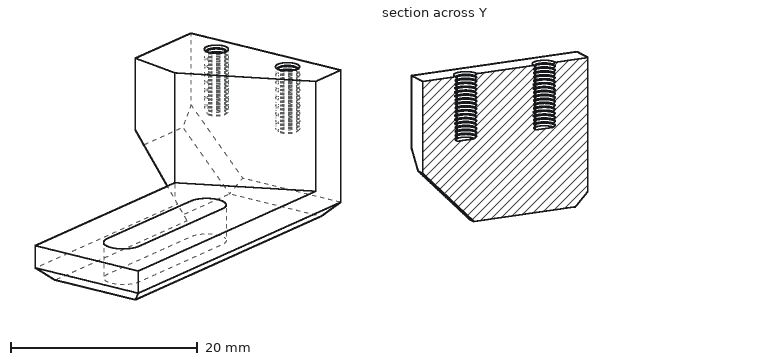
import cadquery as cq

width = 20.0
length = 36.5
height = 16.5
arm_left = 6.25
arm_thickness = 4.0
chamfer = 1.5

corner_y = 25.2
left_face_front_y = 26.45
diagonal_end_y = 31.97
flank_slope = (corner_y - left_face_front_y) / arm_left

slot_width = 4.2
slot_start_y = 4.35
slot_end_y = 23.58
slot_x = 13.2

hole_xs = (5.25, 14.75)
hole_y = 33.98
hole_depth = 7.3
minor_diameter = 2.08
major_diameter = 2.6
thread_pitch = 0.45

overlap = 2.2


def make_arm():
    """Flat arm with its lower side and front edges chamfered."""
    arm_width = width - arm_left
    arm_length = diagonal_end_y + overlap
    arm = cq.Workplane("XY").box(arm_width, arm_length, arm_thickness, centered=False)
    arm = arm.faces("<Z").edges("<X or >X or <Y").chamfer(chamfer)
    return arm.translate((arm_left, 0, 0))


def make_block():
    """Raised block with a 45 degree underside on the left and chamfered lower edges."""
    root_x = arm_left + overlap
    root_y = corner_y + flank_slope * overlap
    plan = [(0, length), (0, left_face_front_y), (root_x, root_y), (width, diagonal_end_y), (width, length)]
    block = cq.Workplane("XY").polyline(plan).close().extrude(height)

    underside = (
        cq.Workplane("XZ")
        .polyline([(0, 0), (arm_left, 0), (0, arm_left)])
        .close()
        .extrude(-length)
    )
    block = block.cut(underside)

    slope_face = block.faces(cq.selectors.DirectionMinMaxSelector(cq.Vector(-1, 0, -1), True))
    slope_edges = slope_face.edges("not |Y")
    bottom_edges = block.faces("<Z").edges(">X or >Y")
    block = block.newObject(slope_edges.vals() + bottom_edges.vals()).chamfer(chamfer)

    clearance = (
        cq.Workplane("XY", origin=(0, 0, arm_thickness))
        .polyline([(arm_left, corner_y), (width, diagonal_end_y), (width, 0), (arm_left, 0)])
        .close()
        .extrude(height)
    )
    return block.cut(clearance)


def make_slot():
    slot_length = slot_end_y - slot_start_y
    return (
        cq.Workplane("XY")
        .center(slot_x, (slot_start_y + slot_end_y) / 2)
        .slot2D(slot_length, slot_width, 90)
        .extrude(arm_thickness)
    )


def make_threaded_hole():
    """Blind bore whose thread is a stack of V-shaped rings, opening at full major diameter."""
    minor_radius = minor_diameter / 2
    major_radius = major_diameter / 2
    groove_count = int(hole_depth / thread_pitch)
    profile = cq.Workplane("XZ").moveTo(0, 0).lineTo(major_radius, 0)
    for groove in range(groove_count):
        crest_z = -(groove + 0.5) * thread_pitch
        root_z = -(groove + 1) * thread_pitch
        profile = profile.lineTo(minor_radius, crest_z).lineTo(major_radius, root_z)
    end_z = -(groove_count + 0.5) * thread_pitch
    profile = profile.lineTo(minor_radius, end_z).lineTo(0, end_z).close()
    return profile.revolve(360, (0, 0), (0, 1))


result = make_block().union(make_arm()).cut(make_slot())
for hole_x in hole_xs:
    result = result.cut(make_threaded_hole().translate((hole_x, hole_y, height)))